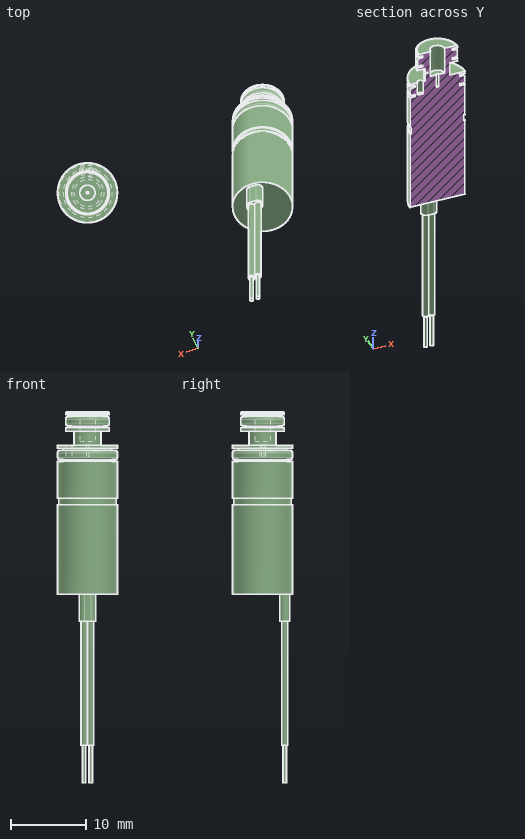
import cadquery as cq

overall_height = 49.35
wire_end = 0.0
insulation_bottom = 5.0
sleeve_bottom = 21.45
body_bottom = 25.05
waist_bottom = 36.95
waist_top = 37.85
body_groove_bottom = 42.7
body_groove_top = 44.45
body_top = 44.85
head_bottom = 46.7
head_groove_bottom = 47.2
head_groove_top = 48.9

body_diameter = 8.0
waist_diameter = 7.7
body_groove_diameter = 6.5
neck_diameter = 3.6
head_diameter = 5.8
head_groove_diameter = 4.3
head_top_chamfer = 0.2

seal_height = 1.3
seal_corner_radius = 0.35

bore_diameter = 2.0
bore_depth = 3.95
orifice_diameter = 0.3
orifice_depth = 1.95
side_port_diameter = 0.8
side_port_depth = 1.95
side_port_x = -2.45

wire_pitch = 0.9
wire_y = 2.95
insulation_diameter = 0.85
conductor_diameter = 0.5
sleeve_length = 2.2
sleeve_width = 1.4


def cylinder(diameter, bottom, top, x=0.0, y=0.0):
    """Vertical cylinder between two heights."""
    return cq.Workplane("XY", origin=(x, y, bottom)).circle(diameter / 2).extrude(top - bottom)


def seal_ring(outer_diameter, groove_bottom, groove_top):
    """Disc with rounded rims that fills the middle of a groove."""
    bottom = (groove_bottom + groove_top - seal_height) / 2
    disc = cylinder(outer_diameter, bottom, bottom + seal_height)
    return disc.edges().fillet(seal_corner_radius)


body = cylinder(body_diameter, body_bottom, waist_bottom)
body = body.union(cylinder(waist_diameter, waist_bottom, waist_top))
body = body.union(cylinder(body_diameter, waist_top, body_groove_bottom))
body = body.union(cylinder(body_groove_diameter, body_groove_bottom, body_groove_top))
body = body.union(cylinder(body_diameter, body_groove_top, body_top))
body = body.union(seal_ring(body_diameter, body_groove_bottom, body_groove_top))

head_cap = cylinder(head_diameter, head_groove_top, overall_height)
head_cap = head_cap.faces(">Z").edges().chamfer(head_top_chamfer)
head = cylinder(neck_diameter, body_top, head_bottom)
head = head.union(cylinder(head_diameter, head_bottom, head_groove_bottom))
head = head.union(cylinder(head_groove_diameter, head_groove_bottom, head_groove_top))
head = head.union(head_cap)
head = head.union(seal_ring(head_diameter, head_groove_bottom, head_groove_top))

bore_floor = overall_height - bore_depth
bore = cylinder(bore_diameter, bore_floor, overall_height)
orifice = cylinder(orifice_diameter, bore_floor - orifice_depth, bore_floor)
side_port = cylinder(side_port_diameter, body_top - side_port_depth, body_top, x=side_port_x)
valve = body.union(head).cut(bore).cut(orifice).cut(side_port)

sleeve = (
    cq.Workplane("XY", origin=(0, wire_y, sleeve_bottom))
    .slot2D(sleeve_length, sleeve_width)
    .extrude(body_bottom - sleeve_bottom)
)
result = valve.union(sleeve)
for wire_x in (-wire_pitch / 2, wire_pitch / 2):
    insulation = cylinder(insulation_diameter, insulation_bottom, sleeve_bottom, wire_x, wire_y)
    conductor = cylinder(conductor_diameter, wire_end, insulation_bottom, wire_x, wire_y)
    result = result.union(insulation).union(conductor)